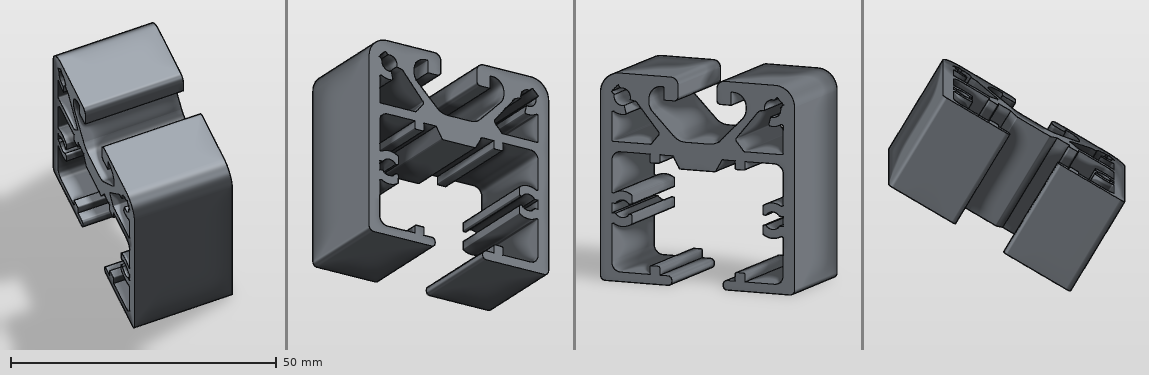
import cadquery as cq
import math


width = 40.0
height = 40.0
length = 20.0
half_width = width / 2

wall = 2.35
wall_x = half_width - wall
top_corner_radius = 4.0
bottom_corner_radius = 1.0
edge_radius = 0.3

slot_half_width = 4.0
slot_floor_z = height - 12.3
slot_floor_half_width = 3.9
slot_floor_radius = 3.4
lip_bottom_z = height - 4.5
lip_inner_x = 6.9
lip_inner_radius = 0.2
lip_top_radius = 1.5
lip_bottom_radius = 0.8
groove_top_z = height - 1.95
groove_side_x = 10.0
groove_radius = 2.6
slot_flank_angle = 45.0

web_top_z = height - 13.2
web_bottom_z = height - 15.1
boss_bottom_z = height - 17.5
boss_top_half_width = 5.1
boss_bottom_half_width = 3.7

flange_thickness = 1.85
flange_end_x = 5.3
flange_end_radius = 0.8
chamber_radius = 1.8
rib_inner_x = 7.75
rib_outer_x = 9.8
rib_height = 1.7

port_offset = 4.5
port_x = half_width - port_offset
upper_port_z = height - port_offset
lower_port_z = 14.0
port_bore_radius = 1.7
port_outer_radius = 3.4
port_slot_width = 1.9
lower_port_end_x = 13.5
upper_port_slot_depth = 2.2
upper_port_slot_angle = 45.0

port_edge_angle = 14.0
pocket_corner_x = 12.6
pocket_flank_angle = 50.0
pocket_apex_x = 7.75
pocket_floor_x = 9.6
pocket_corner_radius = 0.4
pocket_apex_radius = 0.45


def flat(point):
    """The (x, z) pair of an outline point."""
    return (point.x, point.y)


def rounded_prism(corners):
    """Extrude a closed outline of (x, z, radius) corners, centred on Y = 0."""
    pieces = []
    for i, (x, z, radius) in enumerate(corners):
        corner = cq.Vector(x, z)
        if radius == 0:
            pieces.append([corner])
            continue
        previous = cq.Vector(*corners[i - 1][:2])
        following = cq.Vector(*corners[(i + 1) % len(corners)][:2])
        to_previous = (previous - corner).normalized()
        to_following = (following - corner).normalized()
        half_angle = to_previous.getAngle(to_following) / 2
        setback = radius / math.tan(half_angle)
        middle_gap = radius / math.sin(half_angle) - radius
        bisector = (to_previous + to_following).normalized()
        pieces.append([
            corner + to_previous * setback,
            corner + bisector * middle_gap,
            corner + to_following * setback,
        ])
    outline = cq.Workplane("XZ").moveTo(*flat(pieces[0][-1]))
    for piece in pieces[1:] + pieces[:1]:
        outline = outline.lineTo(*flat(piece[0]))
        if len(piece) > 1:
            outline = outline.threePointArc(flat(piece[1]), flat(piece[2]))
    return outline.close().extrude(length / 2, both=True)


def cylinder(x, z, radius):
    return cq.Workplane("XZ").center(x, z).circle(radius).extrude(length / 2, both=True)


def block(x_min, x_max, z_min, z_max):
    return rounded_prism([(x_min, z_min, 0), (x_max, z_min, 0), (x_max, z_max, 0), (x_min, z_max, 0)])


def round_edge(body, x, z, radius):
    """Round the lengthwise edge closest to (x, z)."""
    return body.edges(cq.selectors.NearestToPointSelector((x, 0, z))).fillet(radius)


def half_body():
    """Walls, lip, web, ribs and flange of the right half, without ports and pocket."""
    flank_rise = (groove_side_x - slot_floor_half_width) * math.tan(math.radians(slot_flank_angle))
    return rounded_prism([
        (0, slot_floor_z, 0),
        (slot_floor_half_width, slot_floor_z, slot_floor_radius),
        (groove_side_x, slot_floor_z + flank_rise, groove_radius),
        (groove_side_x, groove_top_z, groove_radius),
        (lip_inner_x, groove_top_z, lip_inner_radius),
        (lip_inner_x, lip_bottom_z, 0),
        (slot_half_width, lip_bottom_z, lip_bottom_radius),
        (slot_half_width, height, lip_top_radius),
        (half_width, height, top_corner_radius),
        (half_width, 0, bottom_corner_radius),
        (flange_end_x, 0, flange_end_radius),
        (flange_end_x, flange_thickness, flange_end_radius),
        (rib_inner_x, flange_thickness, 0),
        (rib_inner_x, flange_thickness + rib_height, edge_radius),
        (rib_outer_x, flange_thickness + rib_height, edge_radius),
        (rib_outer_x, flange_thickness, 0),
        (wall_x, flange_thickness, chamber_radius),
        (wall_x, web_bottom_z, chamber_radius),
        (rib_outer_x, web_bottom_z, 0),
        (rib_outer_x, web_bottom_z - rib_height, edge_radius),
        (rib_inner_x, web_bottom_z - rib_height, edge_radius),
        (rib_inner_x, web_bottom_z, 0),
        (boss_top_half_width, web_bottom_z, 0),
        (boss_bottom_half_width, boss_bottom_z, edge_radius),
        (0, boss_bottom_z, 0),
    ])


def corner_pocket():
    """Pocket between the side wall, the web and the slot flank, up to the upper port."""
    edge_drop = (port_x - pocket_corner_x) * math.tan(math.radians(port_edge_angle))
    corner_z = upper_port_z - edge_drop
    flank_drop = (pocket_corner_x - pocket_apex_x) * math.tan(math.radians(pocket_flank_angle))
    return rounded_prism([
        (port_x, upper_port_z, 0),
        (pocket_corner_x, corner_z, pocket_corner_radius),
        (pocket_apex_x, corner_z - flank_drop, pocket_apex_radius),
        (pocket_floor_x, web_top_z, edge_radius),
        (wall_x, web_top_z, edge_radius),
        (wall_x, upper_port_z, 0),
    ])


def upper_port_arm():
    """Curved arm that carries the lower side of the upper port."""
    lean = math.radians(port_edge_angle)
    tip_x = port_x - port_outer_radius * math.sin(lean)
    tip_z = upper_port_z - port_outer_radius * math.cos(lean)
    side_x = half_width - wall / 2
    bottom_z = upper_port_z - 2 * port_outer_radius
    wedge = rounded_prism([
        (port_x, upper_port_z, 0),
        (2 * tip_x - port_x, 2 * tip_z - upper_port_z, 0),
        (side_x, bottom_z, 0),
        (side_x, upper_port_z, 0),
    ])
    arm = cylinder(port_x, upper_port_z, port_outer_radius).intersect(wedge)
    return round_edge(arm, tip_x, tip_z, edge_radius)


def upper_port_opening():
    """Bore of the upper port with its slot toward the outer top corner."""
    slot = block(0, upper_port_slot_depth, -port_slot_width / 2, port_slot_width / 2)
    slot = slot.rotate((0, 0, 0), (0, 1, 0), -upper_port_slot_angle).translate((port_x, 0, upper_port_z))
    return cylinder(port_x, upper_port_z, port_bore_radius).union(slot)


def lower_port():
    """Two curved arms on the side wall around the lower bore."""
    ring = cylinder(port_x, lower_port_z, port_outer_radius)
    ring = ring.intersect(block(lower_port_end_x, half_width - wall / 2, 0, height))
    slot_half = port_slot_width / 2
    slot = block(lower_port_end_x, wall_x, lower_port_z - slot_half, lower_port_z + slot_half)
    arms = ring.cut(cylinder(port_x, lower_port_z, port_bore_radius)).cut(slot)
    end_half = math.sqrt(port_outer_radius ** 2 - (port_x - lower_port_end_x) ** 2)
    for offset in (-end_half, -slot_half, slot_half, end_half):
        arms = round_edge(arms, lower_port_end_x, lower_port_z + offset, edge_radius)
    return arms


half = half_body().cut(corner_pocket()).union(upper_port_arm()).cut(upper_port_opening())
half = half.union(lower_port())

arm_root_offset = math.sqrt(port_outer_radius ** 2 - (wall_x - port_x) ** 2)
arm_root_heights = (
    upper_port_z - arm_root_offset,
    lower_port_z + arm_root_offset,
    lower_port_z - arm_root_offset,
)
for root_z in arm_root_heights:
    half = round_edge(half, wall_x, root_z, edge_radius)

result = half.union(half.mirror("YZ")).clean()